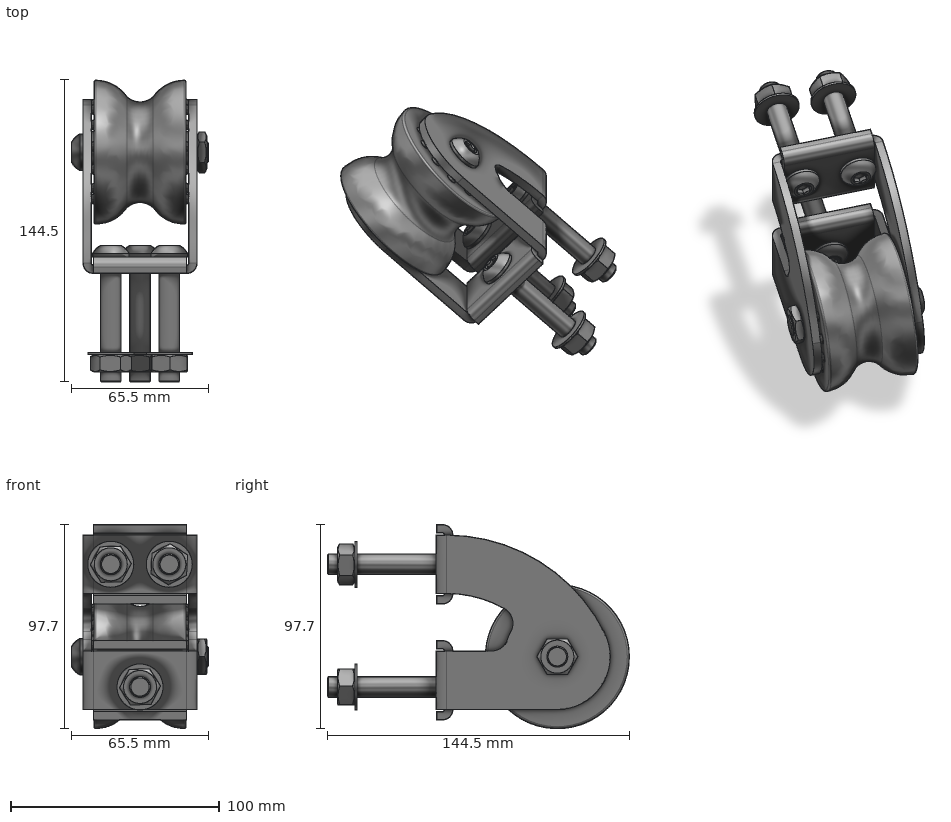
import cadquery as cq
import math


sheet = 4.0
bend_inner = 1.0
bend_outer = bend_inner + sheet
bracket_width = 54.6
web_front = -58.0
web_back = web_front + sheet
cheek_inner = bracket_width / 2 - sheet
hub_radius = 25.3
arm_height = 28.0
upper_top = 58.2
upper_bottom = upper_top - arm_height
lower_bottom = -hub_radius
lower_top = lower_bottom + arm_height
throat_fillet = 8.0
arch_y = web_front + bend_outer
arch_outer = (arch_y**2 + upper_top**2 - hub_radius**2) / (2 * (upper_top - hub_radius))
arch_inner = arch_outer - arm_height
arch_z = upper_top - arch_outer

backing_width = bracket_width - 2 * bend_outer
backing_back = web_back + sheet
lip_setback = 0.3
lip_front = web_front + lip_setback

roller_radius = 34.5
roller_half = 22.0
rim_round = 1.0
flank_half = 6.3
flank_radius = 26.6
flank_mid = (12.9, 32.4)
groove_radius = 24.1
side_washer_radius = 10.0

ball_radius = 2.5
ball_count = 13
ball_pitch_radius = 23.0
ball_x = 21.5

bolt_diameter = 10.0
bolt_length = 60.0
tip_chamfer = 0.6
head_radius = 8.75
head_height = 5.5
head_lip = 1.5
head_flat_radius = 4.85
socket_flats = 6.0
socket_depth = 3.0
socket_point_angle = 30.0
socket_mouth_radius = 3.7
half_hexagon_turn = 30.0
nut_flats = 17.0
nut_face_radius = 7.9
nut_chamfer_angle = 30.0
nut_height = 8.4
thin_nut_height = 4.7
washer_diameter = 22.0
washer_thickness = 1.1
nut_end_to_tip = 4.75
clearance_hole = 12.0
clearance_hole_z = -13.0

bolt_spacing = 28.0
upper_bolt_z = upper_top - arm_height / 2
lower_bolt_z = -14.5
mounting_bolts = [
    (-bolt_spacing / 2, upper_bolt_z, 1.7),
    (bolt_spacing / 2, upper_bolt_z, 87.5),
    (0.0, lower_bolt_z, 2.5),
]


def polar(center, radius, angle):
    """Point at an angle (radians) on a circle."""
    return (center[0] + radius * math.cos(angle), center[1] + radius * math.sin(angle))


def direction(start, end):
    """Angle of the line from start to end."""
    return math.atan2(end[1] - start[1], end[0] - start[0])


def cheek_outline():
    """Side outline in the YZ plane, extended straight to the web front."""
    axle = (0.0, 0.0)
    arch = (arch_y, arch_z)
    reach = hub_radius + throat_fillet

    low_z = lower_top + throat_fillet
    low = (-math.sqrt(reach**2 - low_z**2), low_z)
    span = math.hypot(*arch)
    to_arch = arch_inner - throat_fillet
    cosine = (reach**2 + span**2 - to_arch**2) / (2 * reach * span)
    high = polar(axle, reach, direction(axle, arch) - math.acos(cosine))

    hub_end = direction(arch, axle)
    high_arch = direction(arch, high)
    high_hub = direction(high, axle)
    low_hub = direction(low, axle)
    low_dir = direction(axle, low)
    high_dir = direction(axle, high)
    up = math.pi / 2
    down = -math.pi / 2

    def arc(path, center, radius, start, end):
        middle = polar(center, radius, (start + end) / 2)
        return path.threePointArc(middle, polar(center, radius, end))

    path = cq.Workplane("YZ").moveTo(web_front, lower_bottom).lineTo(0, lower_bottom)
    path = arc(path, axle, hub_radius, down, hub_end)
    path = arc(path, arch, arch_outer, hub_end, up)
    path = path.lineTo(web_front, upper_top).lineTo(web_front, upper_bottom)
    path = path.lineTo(arch_y, upper_bottom)
    path = arc(path, arch, arch_inner, up, high_arch)
    path = arc(path, high, throat_fillet, high_arch, high_hub)
    path = arc(path, axle, hub_radius, high_dir, low_dir)
    path = arc(path, low, throat_fillet, low_hub, down)
    return path.lineTo(web_front, lower_top).close()


def bracket():
    """U-bent sheet trimmed to the cheek outline."""
    depth = hub_radius - web_front
    height = upper_top - lower_bottom

    def block(width, front, radius):
        return (
            cq.Workplane("XY")
            .box(width, depth, height, centered=(True, False, False))
            .edges("|Z and <Y")
            .fillet(radius)
            .translate((0, front, lower_bottom))
        )

    channel = block(bracket_width, web_front, bend_outer).cut(block(2 * cheek_inner, web_back, bend_inner))
    body = channel.intersect(cheek_outline().extrude(bracket_width / 2, both=True))
    hole = (
        cq.Workplane("XZ", origin=(0, web_back, clearance_hole_z))
        .circle(clearance_hole / 2)
        .extrude(sheet)
    )
    return body.cut(hole)


def backing_plate(bottom, top):
    """Plate behind one arm of the web with both long edges curled forward."""
    middle = (bottom + top) / 2
    bend_y = web_back - bend_inner
    diagonal = math.sqrt(0.5)
    outer_mid = (bend_y + bend_outer * diagonal, top + bend_outer * diagonal)
    inner_mid = (bend_y + bend_inner * diagonal, top + bend_inner * diagonal)
    upper_half = (
        cq.Workplane("YZ")
        .moveTo(backing_back, middle)
        .lineTo(backing_back, top)
        .threePointArc(outer_mid, (bend_y, top + bend_outer))
        .lineTo(lip_front, top + bend_outer)
        .lineTo(lip_front, top + bend_inner)
        .lineTo(bend_y, top + bend_inner)
        .threePointArc(inner_mid, (web_back, top))
        .lineTo(web_back, middle)
        .close()
        .extrude(backing_width / 2, both=True)
    )
    return upper_half.union(upper_half.mirror("XY", (0, 0, middle)))


def roller():
    """Grooved roller with its side washers, turned about X."""
    rim_half = roller_half - rim_round
    rim_end = roller_radius - rim_round
    body = (
        cq.Workplane("XY")
        .moveTo(-roller_half, 0)
        .lineTo(-roller_half, rim_end)
        .radiusArc((-rim_half, roller_radius), rim_round)
        .threePointArc((-flank_mid[0], flank_mid[1]), (-flank_half, flank_radius))
        .threePointArc((0, groove_radius), (flank_half, flank_radius))
        .threePointArc(flank_mid, (rim_half, roller_radius))
        .radiusArc((roller_half, rim_end), rim_round)
        .lineTo(roller_half, 0)
        .close()
        .revolve(360, (0, 0, 0), (1, 0, 0))
    )
    washers = cq.Workplane("YZ").circle(side_washer_radius).extrude(cheek_inner, both=True)
    return body.union(washers)


def ball_rings():
    """Balls standing out of both roller ends and bearing on the cheeks."""
    balls = []
    for side in (-1, 1):
        for index in range(ball_count):
            y, z = polar((0, 0), ball_pitch_radius, 2 * math.pi * index / ball_count)
            ball = cq.Workplane("XY").sphere(ball_radius).translate((side * ball_x, y, z))
            balls.append(ball.val())
    return balls


def bolt():
    """Button-head bolt along Z, head underside at Z = 0 and tip at +Z."""
    lip_square = head_radius**2 + head_lip**2
    flat_square = head_flat_radius**2 + head_height**2
    dome_center = (flat_square - lip_square) / (2 * (head_height - head_lip))
    dome_radius = math.hypot(head_radius, head_lip - dome_center)
    dome_mid_r = (head_radius + head_flat_radius) / 2
    dome_mid_z = dome_center + math.sqrt(dome_radius**2 - dome_mid_r**2)
    head = (
        cq.Workplane("XZ")
        .lineTo(head_radius, 0)
        .lineTo(head_radius, -head_lip)
        .threePointArc((dome_mid_r, -dome_mid_z), (head_flat_radius, -head_height))
        .lineTo(0, -head_height)
        .close()
        .revolve(360, (0, 0, 0), (0, 1, 0))
    )
    shank = cq.Workplane("XY").circle(bolt_diameter / 2).extrude(bolt_length).faces(">Z").chamfer(tip_chamfer)
    socket_corner = socket_flats / math.sqrt(3)
    point_radius = socket_flats / 2
    point_depth = point_radius * math.tan(math.radians(socket_point_angle))
    socket_bottom = cq.Vector(0, 0, socket_depth - head_height)
    socket = (
        cq.Workplane("XY", origin=(0, 0, -head_height))
        .transformed(rotate=(0, 0, half_hexagon_turn))
        .polygon(6, 2 * socket_corner)
        .extrude(socket_depth)
    )
    drill_point = cq.Workplane(cq.Solid.makeCone(point_radius, 0, point_depth, pnt=socket_bottom))
    head_top = cq.Vector(0, 0, -head_height)
    mouth = cq.Workplane(cq.Solid.makeCone(socket_mouth_radius, 0, socket_mouth_radius, pnt=head_top))
    return head.union(shank).cut(socket).cut(drill_point).cut(mouth)


def nut(height, spin):
    """Hexagon nut standing on Z = 0, chamfered at both ends."""
    corner = nut_flats / math.sqrt(3)
    drop = (corner - nut_face_radius) * math.tan(math.radians(nut_chamfer_angle))
    envelope = (
        cq.Workplane("XZ")
        .lineTo(nut_face_radius, 0)
        .lineTo(corner, drop)
        .lineTo(corner, height - drop)
        .lineTo(nut_face_radius, height)
        .lineTo(0, height)
        .close()
        .revolve(360, (0, 0, 0), (0, 1, 0))
    )
    hexagon = cq.Workplane("XY").polygon(6, 2 * corner).extrude(height)
    return hexagon.intersect(envelope).rotate((0, 0, 0), (0, 0, 1), spin)


def mounting_fastener(x, z, spin):
    """Bolt, washer and nut pointing towards -Y."""
    nut_base = bolt_length - nut_end_to_tip - nut_height
    washer = (
        cq.Workplane("XY", origin=(0, 0, nut_base - washer_thickness))
        .circle(washer_diameter / 2)
        .extrude(washer_thickness)
    )
    stack = bolt().union(washer).union(nut(nut_height, spin).translate((0, 0, nut_base)))
    place = cq.Plane(origin=(x, backing_back, z), xDir=(1, 0, 0), normal=(0, -1, 0))
    return stack.val().moved(cq.Location(place))


def axle_fastener():
    """Axle bolt pointing towards +X with a thin nut on the far cheek."""
    stack = bolt().union(nut(thin_nut_height, 0).translate((0, 0, bracket_width)))
    place = cq.Plane(origin=(-bracket_width / 2, 0, 0), xDir=(0, 1, 0), normal=(1, 0, 0))
    return stack.val().moved(cq.Location(place))


attached = [
    backing_plate(lower_bottom, lower_top).val(),
    backing_plate(upper_bottom, upper_top).val(),
    roller().val(),
    axle_fastener(),
    *ball_rings(),
    *[mounting_fastener(x, z, spin) for x, z, spin in mounting_bolts],
]
result = cq.Workplane(bracket().val().fuse(*attached)).solids()